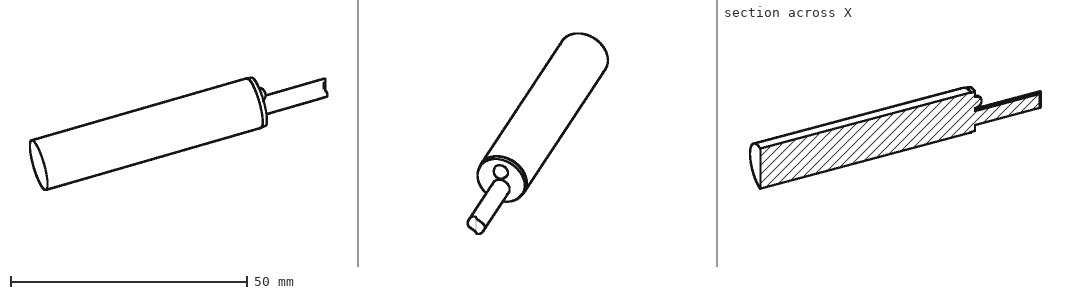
import cadquery as cq

total_length = 65.0
body_diameter = 11.0
collar_diameter = 10.7
collar_length = 1.0
cable_diameter = 3.9
cable_length = 15.5
cable_drop = 1.8
dome_radius = 1.55
dome_rise = 2.35
wave_height = 0.5

front_y = -total_length / 2
tip_y = total_length / 2
end_face_y = tip_y - cable_length
collar_start_y = end_face_y - collar_length


def rod(diameter, start_y, end_y, z=0):
    """Round bar parallel to the Y axis."""
    bar = cq.Workplane("XZ", origin=(0, start_y, z)).circle(diameter / 2)
    return bar.extrude(start_y - end_y)


def wavy_end_cutter():
    """Block whose lower edge is an S-wave: crest at -X, trough at +X."""
    radius = cable_diameter / 2
    outside = cable_diameter
    mean_y = tip_y - wave_height
    above_y = tip_y + wave_height
    return (
        cq.Workplane("XY", origin=(0, 0, -cable_drop))
        .moveTo(-outside, mean_y)
        .lineTo(-radius, mean_y)
        .threePointArc((-radius / 2, tip_y), (0, mean_y))
        .threePointArc((radius / 2, mean_y - wave_height), (radius, mean_y))
        .lineTo(outside, mean_y)
        .lineTo(outside, above_y)
        .lineTo(-outside, above_y)
        .close()
        .extrude(cable_diameter, both=True)
    )


body = rod(body_diameter, front_y, collar_start_y)
collar = rod(collar_diameter, collar_start_y, end_face_y)

cable = rod(cable_diameter, collar_start_y, tip_y, -cable_drop).cut(wavy_end_cutter())

dome = cq.Workplane("XY", origin=(0, end_face_y, dome_rise)).sphere(dome_radius)

result = body.union(collar).union(cable).union(dome)